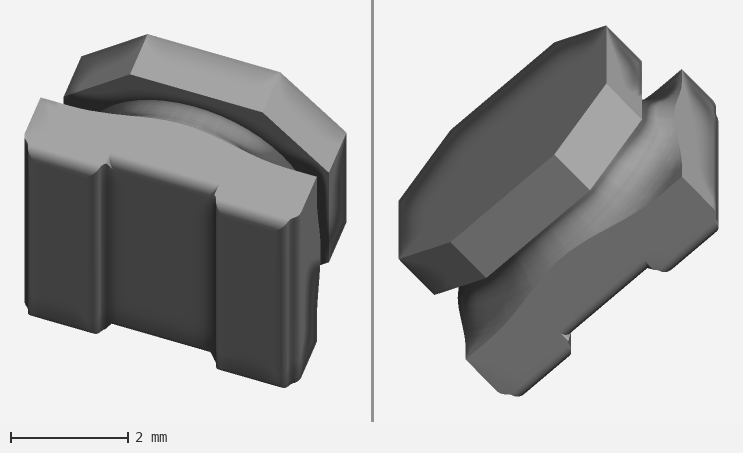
import cadquery as cq
import math

width_x = 5.0
depth_y = 3.0
height_z = 5.0

flange_width = 4.8
flange_thickness = 0.9
flange_corner = 1.2

neck_radius = 2.1
neck_length = 0.9
flare_arc_radius = 1.0

base_height = 4.8
terminal_height = 0.3
edge_radius = 0.2
terminal_inner_flat = 1.245
terminal_outer_flat = 2.16
groove_end_half_width = 0.98

front_y = -depth_y / 2
back_y = depth_y / 2
flange_y = back_y - flange_thickness
base_back_y = flange_y - neck_length
floor_y = front_y + terminal_height
half_width = width_x / 2


def point_on_circle(center, toward):
    """Point at one edge radius from a center, in the direction of another point."""
    distance = math.dist(center, toward)
    return tuple(c + edge_radius * (t - c) / distance for c, t in zip(center, toward))


centers_apart = 2 * edge_radius
hollow_y = floor_y - edge_radius
crest_y = front_y + edge_radius
blend_run = math.sqrt(centers_apart**2 - (crest_y - hollow_y) ** 2)
groove_center = (terminal_inner_flat - blend_run, hollow_y)
inner_center = (terminal_inner_flat, crest_y)
outer_center = (terminal_outer_flat, crest_y)
step_center = (terminal_outer_flat + blend_run, hollow_y)
side_x = half_width - edge_radius
side_rise = math.sqrt(centers_apart**2 - (side_x - step_center[0]) ** 2)
side_center = (side_x, hollow_y + side_rise)

groove_joint = point_on_circle(groove_center, inner_center)
outer_joint = point_on_circle(outer_center, step_center)
side_joint = point_on_circle(step_center, side_center)


def make_flange():
    outline = cq.Workplane("XZ", origin=(0, back_y, 0)).rect(flange_width, height_z)
    return outline.extrude(flange_thickness).edges("|Y").chamfer(flange_corner)


def make_neck():
    """Revolve the concave flare, which runs out tangent to the back of the base."""
    center_y = base_back_y + flare_arc_radius
    flare_run = math.sqrt(flare_arc_radius**2 - (center_y - flange_y) ** 2)
    flare_radius = neck_radius + flare_run
    arc_reach = flare_arc_radius * math.sqrt(0.5)
    arc_middle = (flare_radius - arc_reach, center_y - arc_reach)
    flare = (
        cq.Workplane("XY")
        .moveTo(0, base_back_y)
        .lineTo(flare_radius, base_back_y)
        .threePointArc(arc_middle, (neck_radius, flange_y))
        .lineTo(0, flange_y)
        .close()
        .revolve(360, (0, 0, 0), (0, 1, 0))
    )
    limits = cq.Workplane("XY").box(width_x, depth_y, base_height)
    return flare.intersect(limits)


def make_base_blank():
    """Extrude the base section, whose front corners are chains of tangent equal arcs."""
    half = (
        cq.Workplane("XY", origin=(0, 0, -base_height / 2))
        .moveTo(0, base_back_y)
        .lineTo(0, floor_y)
        .lineTo(groove_center[0], floor_y)
        .tangentArcPoint(groove_joint, relative=False)
        .tangentArcPoint((terminal_inner_flat, front_y), relative=False)
        .lineTo(terminal_outer_flat, front_y)
        .tangentArcPoint(outer_joint, relative=False)
        .tangentArcPoint(side_joint, relative=False)
        .tangentArcPoint((half_width, side_center[1]), relative=False)
        .lineTo(half_width, base_back_y)
        .close()
        .extrude(base_height)
    )
    return half.union(half.mirror("YZ"))


def make_round_ended_bar(bar_width, bar_front_y):
    """Bar along X, as tall as the base, with its two front edges rounded."""
    bar_depth = base_back_y - bar_front_y
    bar = cq.Workplane("XY").box(bar_width, bar_depth, base_height)
    bar = bar.translate((0, bar_front_y + bar_depth / 2, 0))
    return bar.faces("<Y").edges("|X").fillet(edge_radius)


def make_groove_end_cut():
    """Cutter that rounds the top edge of the groove floor, with sides that splay upward."""
    top_z = base_height / 2
    bottom_z = top_z - 2 * edge_radius
    splay = groove_end_half_width - groove_center[0]
    bottom_half_width = groove_end_half_width - 2 * splay
    corners = [
        (-groove_end_half_width, top_z),
        (groove_end_half_width, top_z),
        (bottom_half_width, bottom_z),
        (-bottom_half_width, bottom_z),
    ]
    cutter_depth = terminal_height + 2 * edge_radius
    cutter = cq.Workplane("XZ", origin=(0, front_y, 0)).polyline(corners).close().extrude(-cutter_depth)
    return cutter.cut(make_round_ended_bar(width_x, floor_y))


def make_base():
    """Round the top and bottom front edges of the terminals and of the groove floor."""
    base = make_base_blank().intersect(make_round_ended_bar(width_x, front_y))
    top_cut = make_groove_end_cut()
    return base.cut(top_cut).cut(top_cut.mirror("XY"))


result = make_flange().union(make_neck()).union(make_base())